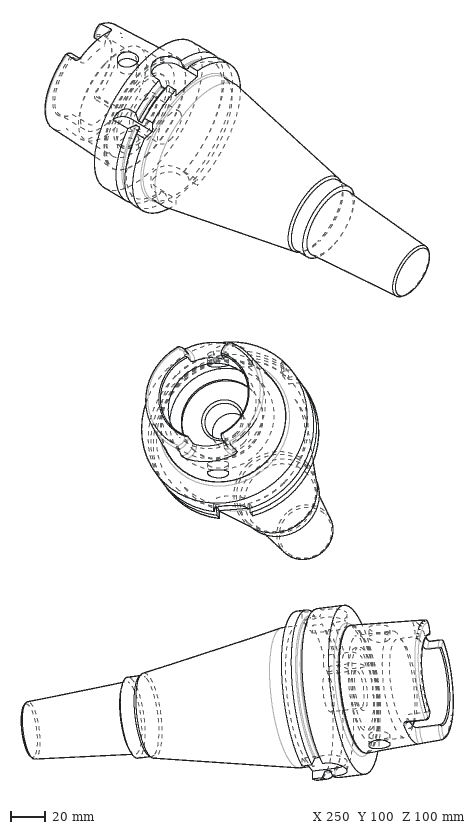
import cadquery as cq
import math

SHANK_FRONT = -50.0
FLANGE_END = 29.0
COLLAR_END = 39.0
BODY_CONE_END = 126.4
RING_START = 127.9
RING_END = 136.4
NOSE_CONE_START = 137.6
NOSE_END = 200.0

SHANK_LARGE_RADIUS = 38.0
SHANK_TAPER_RATIO = 9.98
SHANK_CONE_END = -2.8
SHANK_FRONT_ROUND = 1.6
NECK_RADIUS = 37.6
NECK_START = -2.3
NECK_FILLET = 1.8

FLANGE_RADIUS = 50.0
GROOVE_CENTER = 19.7
GROOVE_HALF_WIDTH = 3.3
GROOVE_FLOOR_HALF_WIDTH = 1.5
GROOVE_BOTTOM_RADIUS = 46.0
GROOVE_FILLET = 0.8

COLLAR_RADIUS = 41.5
COLLAR_FILLET = 1.0
BODY_CONE_END_RADIUS = 25.2
RING_RADIUS = 24.0
NOSE_CONE_RADIUS = 21.5
NOSE_TIP_RADIUS = 17.0
NOSE_TIP_CHAMFER = 1.2

BORE_LIP_RADIUS = 26.5
BORE_MOUTH_CHAMFER = 0.8
BORE_LIP_LENGTH = 20.0
BORE_UNDERCUT_RADIUS = 31.5
BORE_UNDERCUT_ANGLE = 60.0
BORE_UNDERCUT_END = -6.0
BORE_FLOOR_RADIUS = 24.5
BORE_FLOOR_STEP = 2.0
COOLANT_HOLE_RADIUS = 11.1
COOLANT_HOLE_CHAMFER = 1.6
COOLANT_HOLE_DEPTH = 20.0

RADIAL_HOLE_DIAMETER = 12.5
RADIAL_HOLE_X = -15.4

DRIVE_SLOT_HALF_WIDTH = 10.0
DRIVE_SLOT_ROUND = 7.0
DRIVE_SLOT_SHELF_Z = 32.0
DRIVE_SLOT_BOTTOM_Z = 20.0
DRIVE_SLOT_CORNER_RADIUS = 2.0
TOP_DRIVE_SLOT_DEPTH = 10.0
BOTTOM_DRIVE_SLOT_DEPTH = 15.0

KEY_SLOT_WIDTH = 20.0
KEY_SLOT_START = 5.0
KEY_SLOT_FLOOR = 44.0

NOTCH_WALL_Y = -31.7
NOTCH_FLOOR_Z = 31.3
NOTCH_START = 5.1
NOTCH_END_RADIUS = 7.6

CLEARANCE = 5.0

ROUND_MIDPOINT = 1 - math.sqrt(0.5)


def shank_radius(x):
    return SHANK_LARGE_RADIUS + x / (2 * SHANK_TAPER_RATIO)


def revolve_about_x(outline):
    return outline.close().revolve(360, (0, 0, 0), (1, 0, 0))


def make_body():
    neck_bulge = NECK_FILLET * ROUND_MIDPOINT
    collar_bulge = COLLAR_FILLET * ROUND_MIDPOINT
    outline = (
        cq.Workplane("XY")
        .moveTo(SHANK_FRONT, 0)
        .lineTo(SHANK_FRONT, shank_radius(SHANK_FRONT))
        .lineTo(SHANK_CONE_END, shank_radius(SHANK_CONE_END))
        .lineTo(NECK_START, NECK_RADIUS)
        .lineTo(-NECK_FILLET, NECK_RADIUS)
        .threePointArc((-neck_bulge, NECK_RADIUS + neck_bulge), (0, NECK_RADIUS + NECK_FILLET))
        .lineTo(0, FLANGE_RADIUS)
        .lineTo(FLANGE_END, FLANGE_RADIUS)
        .lineTo(FLANGE_END, COLLAR_RADIUS + COLLAR_FILLET)
        .threePointArc(
            (FLANGE_END + collar_bulge, COLLAR_RADIUS + collar_bulge),
            (FLANGE_END + COLLAR_FILLET, COLLAR_RADIUS),
        )
        .lineTo(COLLAR_END, COLLAR_RADIUS)
        .lineTo(BODY_CONE_END, BODY_CONE_END_RADIUS)
        .lineTo(RING_START, RING_RADIUS)
        .lineTo(RING_END, RING_RADIUS)
        .lineTo(NOSE_CONE_START, NOSE_CONE_RADIUS)
        .lineTo(NOSE_END - NOSE_TIP_CHAMFER, NOSE_TIP_RADIUS)
        .lineTo(NOSE_END, NOSE_TIP_RADIUS - NOSE_TIP_CHAMFER)
        .lineTo(NOSE_END, 0)
    )
    return revolve_about_x(outline)


def make_gripper_groove():
    """V-shaped ring with a flat floor and filleted floor corners."""
    cutter_radius = FLANGE_RADIUS + CLEARANCE
    outline = (
        cq.Workplane("XY")
        .moveTo(GROOVE_CENTER - GROOVE_FLOOR_HALF_WIDTH, GROOVE_BOTTOM_RADIUS)
        .lineTo(GROOVE_CENTER + GROOVE_FLOOR_HALF_WIDTH, GROOVE_BOTTOM_RADIUS)
        .lineTo(GROOVE_CENTER + GROOVE_HALF_WIDTH, FLANGE_RADIUS)
        .lineTo(GROOVE_CENTER + GROOVE_HALF_WIDTH, cutter_radius)
        .lineTo(GROOVE_CENTER - GROOVE_HALF_WIDTH, cutter_radius)
        .lineTo(GROOVE_CENTER - GROOVE_HALF_WIDTH, FLANGE_RADIUS)
    )
    floor_edges = cq.selectors.RadiusNthSelector(0)
    return revolve_about_x(outline).edges(floor_edges).fillet(GROOVE_FILLET)


def make_bore():
    lip_end = SHANK_FRONT + BORE_LIP_LENGTH
    flank_rise = BORE_UNDERCUT_RADIUS - BORE_LIP_RADIUS
    flank_run = flank_rise / math.tan(math.radians(BORE_UNDERCUT_ANGLE))
    floor_x = BORE_UNDERCUT_END + BORE_FLOOR_STEP
    outline = (
        cq.Workplane("XY")
        .moveTo(SHANK_FRONT, 0)
        .lineTo(SHANK_FRONT, BORE_LIP_RADIUS + BORE_MOUTH_CHAMFER)
        .lineTo(SHANK_FRONT + BORE_MOUTH_CHAMFER, BORE_LIP_RADIUS)
        .lineTo(lip_end, BORE_LIP_RADIUS)
        .lineTo(lip_end + flank_run, BORE_UNDERCUT_RADIUS)
        .lineTo(BORE_UNDERCUT_END, BORE_UNDERCUT_RADIUS)
        .lineTo(BORE_UNDERCUT_END, BORE_FLOOR_RADIUS)
        .lineTo(floor_x, BORE_FLOOR_RADIUS)
        .lineTo(floor_x, COOLANT_HOLE_RADIUS + COOLANT_HOLE_CHAMFER)
        .lineTo(floor_x + COOLANT_HOLE_CHAMFER, COOLANT_HOLE_RADIUS)
        .lineTo(floor_x + COOLANT_HOLE_DEPTH, COOLANT_HOLE_RADIUS)
        .lineTo(floor_x + COOLANT_HOLE_DEPTH, 0)
    )
    return revolve_about_x(outline)


def make_radial_hole():
    return (
        cq.Workplane("XY", origin=(RADIAL_HOLE_X, 0, -FLANGE_RADIUS))
        .circle(RADIAL_HOLE_DIAMETER / 2)
        .extrude(2 * FLANGE_RADIUS)
    )


def make_drive_slot(depth):
    """Slot open to the front and to +Z, its flanks flaring into shelves at the top."""
    half = DRIVE_SLOT_HALF_WIDTH
    shelf_half = half + DRIVE_SLOT_ROUND
    arc_start_z = DRIVE_SLOT_SHELF_Z - DRIVE_SLOT_ROUND
    arc_mid = DRIVE_SLOT_ROUND * math.sqrt(0.5)
    mid_y = shelf_half - arc_mid
    mid_z = arc_start_z + arc_mid
    outer = SHANK_LARGE_RADIUS + CLEARANCE
    return (
        cq.Workplane("YZ", origin=(SHANK_FRONT, 0, 0))
        .moveTo(-half, DRIVE_SLOT_BOTTOM_Z)
        .lineTo(-half, arc_start_z)
        .threePointArc((-mid_y, mid_z), (-shelf_half, DRIVE_SLOT_SHELF_Z))
        .lineTo(-outer, DRIVE_SLOT_SHELF_Z)
        .lineTo(-outer, outer)
        .lineTo(outer, outer)
        .lineTo(outer, DRIVE_SLOT_SHELF_Z)
        .lineTo(shelf_half, DRIVE_SLOT_SHELF_Z)
        .threePointArc((mid_y, mid_z), (half, arc_start_z))
        .lineTo(half, DRIVE_SLOT_BOTTOM_Z)
        .close()
        .extrude(depth)
        .faces(">X")
        .edges()
        .fillet(DRIVE_SLOT_CORNER_RADIUS)
    )


def make_key_slot():
    """Round-ended slot on the +Z side, open towards the nose."""
    radius = KEY_SLOT_WIDTH / 2
    end_center = KEY_SLOT_START + radius
    return (
        cq.Workplane("XY", origin=(0, 0, KEY_SLOT_FLOOR))
        .moveTo(FLANGE_END, -radius)
        .lineTo(end_center, -radius)
        .threePointArc((KEY_SLOT_START, 0), (end_center, radius))
        .lineTo(FLANGE_END, radius)
        .close()
        .extrude(FLANGE_RADIUS)
    )


def make_orientation_notch():
    """Corner cut with a flat floor and wall, its closed end a quarter round."""
    radius = NOTCH_END_RADIUS
    arc_end_x = NOTCH_START + radius
    bulge = radius * ROUND_MIDPOINT
    return (
        cq.Workplane("XY", origin=(0, 0, NOTCH_FLOOR_Z))
        .moveTo(FLANGE_END, NOTCH_WALL_Y)
        .lineTo(arc_end_x, NOTCH_WALL_Y)
        .threePointArc(
            (NOTCH_START + bulge, NOTCH_WALL_Y - bulge),
            (NOTCH_START, NOTCH_WALL_Y - radius),
        )
        .lineTo(NOTCH_START, -FLANGE_RADIUS)
        .lineTo(FLANGE_END, -FLANGE_RADIUS)
        .close()
        .extrude(FLANGE_RADIUS)
    )


def turned_under(cutter):
    return cutter.rotate((0, 0, 0), (1, 0, 0), 180)


def make_slotted_body():
    """Turned body with both drive slots, every edge of its front face rounded."""
    return (
        make_body()
        .cut(make_drive_slot(TOP_DRIVE_SLOT_DEPTH))
        .cut(turned_under(make_drive_slot(BOTTOM_DRIVE_SLOT_DEPTH)))
        .faces("<X")
        .edges()
        .fillet(SHANK_FRONT_ROUND)
    )


result = (
    make_slotted_body()
    .cut(make_gripper_groove())
    .cut(make_bore())
    .cut(make_radial_hole())
    .cut(make_key_slot())
    .cut(turned_under(make_key_slot()))
    .cut(make_orientation_notch())
)